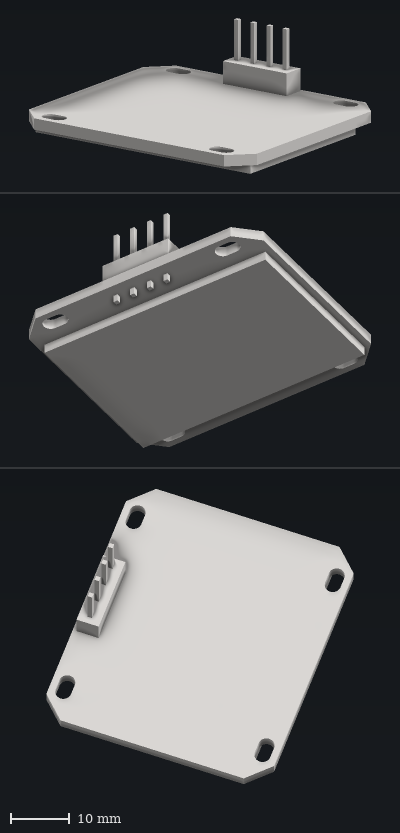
import cadquery as cq

BOARD_LENGTH = 47.8
BOARD_WIDTH = 41.15
BOARD_THICKNESS = 2.0
CORNER_CHAMFER = 4.0

SLOT_LENGTH = 4.7
SLOT_WIDTH = 2.75
SLOT_END_MARGIN = 4.0
SLOT_SIDE_MARGIN = 2.6

PLATE_LENGTH = 45.05
PLATE_THICKNESS = 1.75
PLATE_FRONT_MARGIN = CORNER_CHAMFER
PLATE_BACK_MARGIN = 6.7

HEADER_LENGTH = 13.35
HEADER_WIDTH = 4.0
HEADER_HEIGHT = 4.0
HEADER_BACK_MARGIN = 0.65

PIN_COUNT = 4
PIN_SIZE = 0.8
PIN_PITCH = 3.4
PIN_ABOVE_HEADER = 7.2
PIN_BELOW_BOARD = 1.4

header_y = BOARD_WIDTH / 2 - HEADER_BACK_MARGIN - HEADER_WIDTH / 2
header_top = BOARD_THICKNESS + HEADER_HEIGHT
pin_length = PIN_BELOW_BOARD + header_top + PIN_ABOVE_HEADER
pin_positions = [
    ((i - (PIN_COUNT - 1) / 2) * PIN_PITCH, header_y) for i in range(PIN_COUNT)
]


def make_pin(position):
    """One square pin, from below the board to above the header."""
    return (
        cq.Workplane("XY", origin=(*position, -PIN_BELOW_BOARD))
        .rect(PIN_SIZE, PIN_SIZE)
        .extrude(pin_length)
    )


def cut_pin_holes(body):
    """Cut square holes that match the pins."""
    for position in pin_positions:
        body = body.cut(make_pin(position))
    return body


def make_board():
    """Chamfered board with four mounting slots and the pin holes."""
    slot_spacing_x = BOARD_LENGTH - 2 * SLOT_END_MARGIN - SLOT_LENGTH
    slot_spacing_y = BOARD_WIDTH - 2 * SLOT_SIDE_MARGIN
    board = (
        cq.Workplane("XY")
        .rect(BOARD_LENGTH, BOARD_WIDTH)
        .extrude(BOARD_THICKNESS)
        .edges("|Z")
        .chamfer(CORNER_CHAMFER)
    )
    slots = (
        cq.Workplane("XY")
        .rarray(slot_spacing_x, slot_spacing_y, 2, 2)
        .slot2D(SLOT_LENGTH, SLOT_WIDTH)
        .extrude(BOARD_THICKNESS)
    )
    return cut_pin_holes(board.cut(slots))


def make_plate():
    """Plain rectangular plate against the underside of the board."""
    plate_width = BOARD_WIDTH - PLATE_FRONT_MARGIN - PLATE_BACK_MARGIN
    plate_y = (PLATE_FRONT_MARGIN - PLATE_BACK_MARGIN) / 2
    return (
        cq.Workplane("XY", origin=(0, plate_y, -PLATE_THICKNESS))
        .rect(PLATE_LENGTH, plate_width)
        .extrude(PLATE_THICKNESS)
    )


def make_header():
    """Header block near the back edge, with the pin holes through it."""
    block = (
        cq.Workplane("XY", origin=(0, header_y, BOARD_THICKNESS))
        .rect(HEADER_LENGTH, HEADER_WIDTH)
        .extrude(HEADER_HEIGHT)
    )
    return cut_pin_holes(block)


board = make_board()
plate = make_plate()
header = make_header()
pins = [make_pin(position).val() for position in pin_positions]

result = cq.Compound.makeCompound([board.solids().val(), plate.val(), header.solids().val(), *pins])